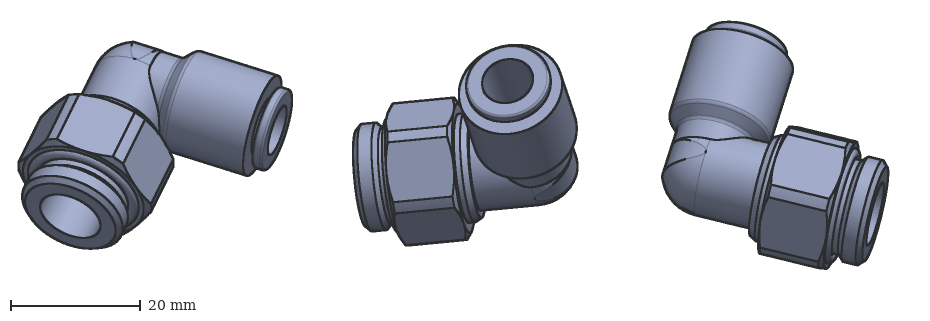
import cadquery as cq
import math


STEM_RADIUS = 6.75
PORT_ARM_RADIUS = 6.25
PORT_ARM_START = math.sqrt(STEM_RADIUS**2 - PORT_ARM_RADIUS**2)

COLLAR_START = 9.08
COLLAR_RIM = 10.17
HEX_START = 11.12
HEX_END = 21.65
SEAL_END = 22.4
RELIEF_END = 23.2
STEM_END = 27.1

COLLAR_RADIUS = 8.45
COLLAR_TOP_RADIUS = 7.85
HEX_ACROSS_FLATS = 20.0
HEX_CORNER_RADIUS = 11.0
HEX_CHAMFER_HEIGHT = 0.6
HEX_FACE_RADIUS = HEX_ACROSS_FLATS / 2
SEAL_RADIUS = 9.2
SEAL_SECTION_RADIUS = 0.88
THREAD_RADIUS = 8.35
RELIEF_RADIUS = 7.5
THREAD_CHAMFER = THREAD_RADIUS - RELIEF_RADIUS

PORT_CONE_START = 6.12
PORT_END = 21.08
RELEASE_RING_START = 21.9
RELEASE_RING_END = 23.55
PORT_RADIUS = 8.1
PORT_CONE_LENGTH = PORT_RADIUS - PORT_ARM_RADIUS
PORT_INNER_ROUND = 0.8
PORT_OUTER_ROUND = 0.88
RELEASE_NECK_RADIUS = 4.6
RELEASE_RING_RADIUS = 6.55
RELEASE_RING_ROUND = 0.35

STEM_BORE_RADIUS = 5.0
PORT_BORE_RADIUS = 3.98
BORE_TIP_SLOPE = 0.33


def turned_on_stem(profile):
    """Solid of revolution about the stem axis from (radius, distance along -Y) points."""
    points = [(radius, -distance) for radius, distance in profile]
    return cq.Workplane("XY").polyline(points).close().revolve(360, (0, 0, 0), (0, 1, 0))


def turned_on_port(profile):
    """Solid of revolution about the port axis from (X, radius) points."""
    return cq.Workplane("XY").polyline(profile).close().revolve(360, (0, 0, 0), (1, 0, 0))


def stem_cylinder(radius, start, end):
    return turned_on_stem([(0, start), (radius, start), (radius, end), (0, end)])


def port_cylinder(radius, start, end):
    return turned_on_port([(start, 0), (start, radius), (end, radius), (end, 0)])


def make_elbow_dome():
    """Spherical heel, flattened by a cylinder along X that passes through the sphere's
    rim at Y = 0 and crests level with the port arm."""
    axis_drop = (STEM_RADIUS**2 - PORT_ARM_RADIUS**2) / (2 * PORT_ARM_RADIUS)
    flattening_radius = PORT_ARM_RADIUS + axis_drop
    flattening = (
        cq.Workplane("YZ")
        .center(-axis_drop, 0)
        .circle(flattening_radius)
        .extrude(STEM_RADIUS, both=True)
    )
    heel_block = (
        cq.Workplane("XY", origin=(-STEM_RADIUS, 0, 0))
        .box(STEM_RADIUS + PORT_ARM_START, STEM_RADIUS, 2 * STEM_RADIUS, centered=(False, False, True))
    )
    return cq.Workplane("XY").sphere(STEM_RADIUS).intersect(heel_block).intersect(flattening)


def make_hex():
    length = HEX_END - HEX_START
    prism = (
        cq.Workplane("XZ", origin=(0, -HEX_START, 0))
        .polygon(6, HEX_ACROSS_FLATS / math.cos(math.pi / 6))
        .extrude(length)
    )
    corner_envelope = turned_on_stem([
        (0, HEX_START),
        (HEX_FACE_RADIUS, HEX_START),
        (HEX_CORNER_RADIUS, HEX_START + HEX_CHAMFER_HEIGHT),
        (HEX_CORNER_RADIUS, HEX_END - HEX_CHAMFER_HEIGHT),
        (HEX_FACE_RADIUS, HEX_END),
        (0, HEX_END),
    ])
    return prism.intersect(corner_envelope)


def make_collar():
    return turned_on_stem([
        (0, COLLAR_START),
        (COLLAR_TOP_RADIUS, COLLAR_START),
        (COLLAR_RADIUS, COLLAR_RIM),
        (COLLAR_RADIUS, HEX_START),
        (0, HEX_START),
    ])


def make_seal():
    """O-ring partly sunk into the hex face and the thread relief."""
    ring_radius = SEAL_RADIUS - SEAL_SECTION_RADIUS
    ring_station = SEAL_END - SEAL_SECTION_RADIUS
    return (
        cq.Workplane("XY")
        .center(ring_radius, -ring_station)
        .circle(SEAL_SECTION_RADIUS)
        .revolve(360, (-ring_radius, 0, 0), (-ring_radius, 1, 0))
    )


def make_thread():
    return turned_on_stem([
        (0, HEX_END),
        (RELIEF_RADIUS, HEX_END),
        (RELIEF_RADIUS, RELIEF_END),
        (THREAD_RADIUS, RELIEF_END + THREAD_CHAMFER),
        (THREAD_RADIUS, STEM_END - THREAD_CHAMFER),
        (THREAD_RADIUS - THREAD_CHAMFER, STEM_END),
        (0, STEM_END),
    ])


def make_port():
    """Port arm flaring through a rounded cone into the tube socket."""
    cone_end = PORT_CONE_START + PORT_CONE_LENGTH
    body = turned_on_port([
        (PORT_ARM_START, 0),
        (PORT_ARM_START, PORT_ARM_RADIUS),
        (PORT_CONE_START, PORT_ARM_RADIUS),
        (cone_end, PORT_RADIUS),
        (PORT_END, PORT_RADIUS),
        (PORT_END, 0),
    ])

    def round_edge(solid, station, radius, size):
        selector = cq.selectors.BoxSelector(
            (station - 0.05, -radius, -radius), (station + 0.05, radius, radius)
        )
        return solid.edges("%CIRCLE").edges(selector).fillet(size)

    body = round_edge(body, PORT_CONE_START, PORT_ARM_RADIUS, PORT_INNER_ROUND)
    return round_edge(body, cone_end, PORT_RADIUS, PORT_OUTER_ROUND)


def make_release_ring():
    neck = port_cylinder(RELEASE_NECK_RADIUS, PORT_END, RELEASE_RING_START)
    ring = port_cylinder(RELEASE_RING_RADIUS, RELEASE_RING_START, RELEASE_RING_END)
    return neck.union(ring.edges("%CIRCLE").fillet(RELEASE_RING_ROUND))


def make_stem_bore():
    """Bore whose end cone narrows to the port bore radius at Y = 0."""
    cone_start = (STEM_BORE_RADIUS - PORT_BORE_RADIUS) * BORE_TIP_SLOPE
    tip = PORT_BORE_RADIUS * BORE_TIP_SLOPE
    return turned_on_stem([
        (0, STEM_END),
        (STEM_BORE_RADIUS, STEM_END),
        (STEM_BORE_RADIUS, cone_start),
        (0, -tip),
    ])


def make_port_bore():
    """Bore open at the release ring, with its end cone starting at X = 0."""
    tip = PORT_BORE_RADIUS * BORE_TIP_SLOPE
    return turned_on_port([
        (-tip, 0),
        (0, PORT_BORE_RADIUS),
        (RELEASE_RING_END, PORT_BORE_RADIUS),
        (RELEASE_RING_END, 0),
    ])


body = stem_cylinder(STEM_RADIUS, 0, COLLAR_START)
for section in (
    make_elbow_dome(),
    make_collar(),
    make_hex(),
    make_thread(),
    make_seal(),
    make_port(),
    make_release_ring(),
):
    body = body.union(section)

result = body.cut(make_stem_bore()).cut(make_port_bore())